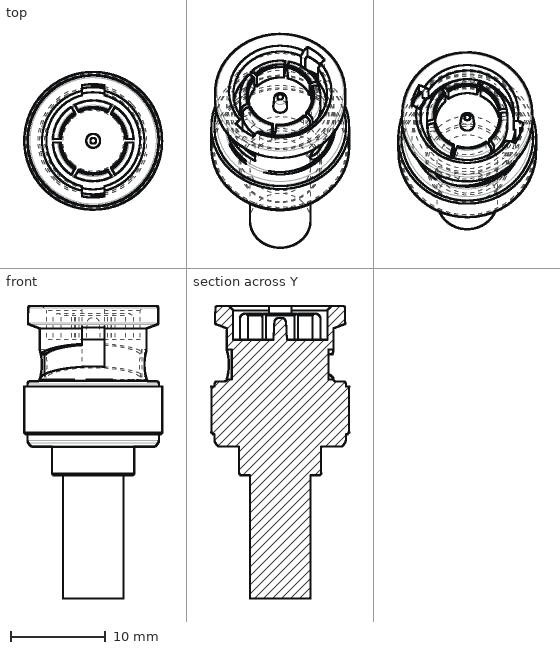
import cadquery as cq
import math

total_height = 30.95
collar_bottom = 13.03
sleeve_bottom = 16.05
sleeve_taper_top = 16.6
grip_bottom = 17.35
grip_top = 22.45
sleeve_top = 23.0
floor_z = 27.4
flange_cone_bottom = 28.57
flange_cone_top = 29.03

tube_radius = 3.22
collar_radius = 4.35
grip_radius = 7.3
sleeve_radius = 6.95
sleeve_end_radius = 6.6
neck_radius = 5.65
flange_radius = 6.9

edge_chamfer = 0.2
flange_top_round = 0.22
flange_bottom_round = 0.2
sleeve_top_round = 0.28
sleeve_taper_round = 0.45
sleeve_end_round = 0.3
neck_foot_round = 0.2

bore_radius = 4.95
bore_chamfer = 0.45
core_radius = 5.15
keyway_radius = 6.0
track_width = 2.35
keyway_bottom = 25.7
latch_z = 24.75
latch_radius = 1.58
track_angle = 14.0

finger_radius = 4.27
finger_inner_radius = 3.4
finger_top = 30.15
finger_round_start = 29.45
finger_rim_outer = 3.78
finger_rim_inner = 3.6
finger_count = 6
slit_width = 0.4

pin_base_radius = 0.75
pin_shoulder_radius = 0.65
pin_tip_radius = 0.3
pin_shoulder_z = 29.2
pin_top = 29.68

overlap = 0.3


def revolve(profile):
    """Turn an (r, z) outline, drawn on the XZ plane, about the Z axis."""
    return profile.close().revolve(360, (0, 0, 0), (0, 1, 0))


def disc(radius, bottom, top):
    return cq.Workplane("XY").workplane(offset=bottom).circle(radius).extrude(top - bottom)


def round_corner(body, radius, height, fillet):
    """Fillet the circular edge that has the given radius and height."""
    tolerance = 0.003
    rims = body.edges("%CIRCLE").filter(
        lambda edge: abs(edge.radius() - radius) < tolerance
        and abs(edge.Center().z - height) < tolerance
    )
    return rims.fillet(fillet)


def outer_body():
    outline = [
        (0, 0),
        (tube_radius, 0),
        (tube_radius, collar_bottom),
        (collar_radius - edge_chamfer, collar_bottom),
        (collar_radius, collar_bottom + edge_chamfer),
        (collar_radius, sleeve_bottom),
        (sleeve_end_radius, sleeve_bottom),
        (sleeve_radius, sleeve_taper_top),
        (sleeve_radius, grip_bottom),
        (grip_radius - edge_chamfer, grip_bottom),
        (grip_radius, grip_bottom + edge_chamfer),
        (grip_radius, grip_top),
        (sleeve_radius, grip_top),
        (sleeve_radius, sleeve_top),
        (neck_radius, sleeve_top),
        (neck_radius, flange_cone_bottom),
        (flange_radius, flange_cone_top),
        (flange_radius, total_height),
        (0, total_height),
    ]
    body = revolve(cq.Workplane("XZ").polyline(outline))
    body = round_corner(body, sleeve_end_radius, sleeve_bottom, sleeve_end_round)
    body = round_corner(body, sleeve_radius, sleeve_taper_top, sleeve_taper_round)
    body = round_corner(body, sleeve_radius, sleeve_top, sleeve_top_round)
    body = round_corner(body, neck_radius, sleeve_top, neck_foot_round)
    body = round_corner(body, flange_radius, flange_cone_top, flange_bottom_round)
    return round_corner(body, flange_radius, total_height, flange_top_round)


def socket():
    """Bore that opens at the flange face, with a chamfered mouth."""
    outline = [
        (0, floor_z),
        (bore_radius, floor_z),
        (bore_radius, total_height - bore_chamfer),
        (bore_radius + bore_chamfer, total_height),
        (0, total_height),
    ]
    return revolve(cq.Workplane("XZ").polyline(outline))


def bayonet_track():
    """Entry keyway on the -Y side, sloping slot, and round latch hole on the -X side."""
    keyway = (
        cq.Workplane("XY").workplane(offset=keyway_bottom)
        .center(0, -keyway_radius)
        .rect(track_width, 2 * keyway_radius)
        .extrude(total_height - keyway_bottom)
        .intersect(disc(keyway_radius, keyway_bottom, total_height))
    )

    slope = math.radians(track_angle)
    slot_center_drop = latch_radius - track_width / 2
    start_y = slot_center_drop * math.sin(slope)
    start_z = latch_z - slot_center_drop * math.cos(slope)
    slot_length = 2 * neck_radius
    slot = (
        cq.Workplane("YZ")
        .rect(slot_length, track_width)
        .extrude(-(grip_radius + track_width / 2))
        .translate((track_width / 2, -slot_length / 2, 0))
        .rotate((0, 0, 0), (1, 0, 0), -track_angle)
        .translate((0, -start_y, start_z))
    )
    latch_hole = cq.Workplane("YZ").center(0, latch_z).circle(latch_radius).extrude(-grip_radius)

    core = disc(core_radius, sleeve_top, floor_z)
    wall = disc(neck_radius + neck_foot_round, sleeve_top, floor_z).cut(core)
    return keyway.cut(core).union(slot.union(latch_hole).intersect(wall))


def spring_fingers():
    """Slotted ring standing on the socket floor, with rounded finger tips."""
    rounding_radial = finger_radius - finger_rim_outer
    rounding_axial = finger_top - finger_round_start
    rounding_mid = (
        finger_rim_outer + rounding_radial * math.cos(math.pi / 4),
        finger_round_start + rounding_axial * math.sin(math.pi / 4),
    )
    inner_chamfer = finger_rim_inner - finger_inner_radius
    ring = revolve(
        cq.Workplane("XZ")
        .moveTo(finger_inner_radius, floor_z - overlap)
        .lineTo(finger_radius, floor_z - overlap)
        .lineTo(finger_radius, finger_round_start)
        .threePointArc(rounding_mid, (finger_rim_outer, finger_top))
        .lineTo(finger_rim_inner, finger_top)
        .lineTo(finger_inner_radius, finger_top - inner_chamfer)
    )
    slit = (
        cq.Workplane("XY").workplane(offset=floor_z)
        .rect(2 * (finger_radius + overlap), slit_width)
        .extrude(finger_top - floor_z)
    )
    for index in range(finger_count // 2):
        ring = ring.cut(slit.rotate((0, 0, 0), (0, 0, 1), index * 360 / finger_count))
    return ring


def contact_pin():
    """Slightly tapered pin with a rounded tip."""
    return revolve(
        cq.Workplane("XZ")
        .moveTo(0, floor_z - overlap)
        .lineTo(pin_base_radius, floor_z - overlap)
        .lineTo(pin_base_radius, floor_z)
        .lineTo(pin_shoulder_radius, pin_shoulder_z)
        .tangentArcPoint((pin_tip_radius, pin_top), relative=False)
        .lineTo(0, pin_top)
    )


track = bayonet_track()
result = outer_body().cut(socket())
for turn in (0, 180):
    result = result.cut(track.rotate((0, 0, 0), (0, 0, 1), turn))
result = result.union(spring_fingers()).union(contact_pin())